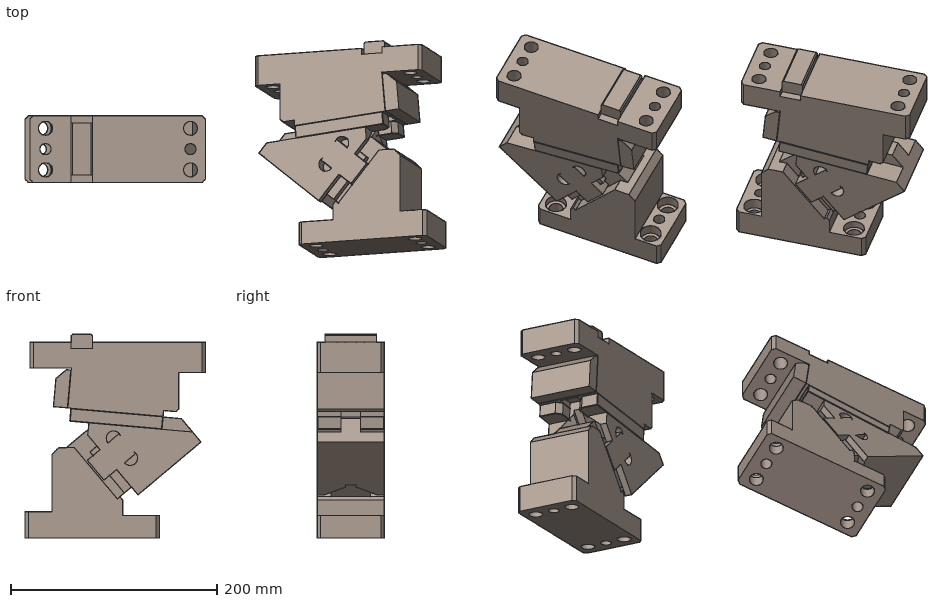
import cadquery as cq
import math

WIDTH = 65.0
CORNER_CHAMFER = 3.4
SCREW_RADIUS = 6.7
DOWEL_RADIUS = 5.3
SCREW_Y = 20.1
REACH = 197.5

BASE_LENGTH = 130.5
LEFT_FOOT_HEIGHT = 25.7
RIGHT_FOOT_HEIGHT = 22.0
COLUMN_LEFT = 26.0
COLUMN_RIGHT = 94.8
BASE_TOP = 87.7
COLUMN_CHAMFER = 6.7
BASE_LEFT_HOLE_X = 15.2
BASE_RIGHT_HOLE_X = 116.0
COUNTERBORE_RADIUS = 10.0
COUNTERBORE_FLOOR = 14.6

SLOPE_ANGLE = 50
SLOPE_TOP_X = 47.8
LIP_HEIGHT = 3.4

RAIL_START = -5.0
RAIL_END = 65.0
STEM_HALF = 19.0
STEM_ROOT = -9.9
HEAD_START = 13.0
HEAD_HALF = 25.7
HEAD_BOTTOM = 8.9
RAIL_SHOULDER = 17.8
ROOF_ANGLE = 30
RIDGE_HALF = 5.0
ROOF_TOP = RAIL_SHOULDER + (HEAD_HALF - RIDGE_HALF) * math.tan(math.radians(ROOF_ANGLE))
LEAD_IN_P = 19.2
LEAD_IN_ANGLE = 18

SLIDER_END = 74.9
SLIDER_BACK = 97.5
RELIEF_TOP = 32.8
LEG_START = 17.5
LEG_END = 42.7
LEG_BOTTOM = 1.8
LEG_TOP = 41.7
POCKET_P = 35.0
POCKET_RADIUS = 7.1

TILT = 5
JOINT_X = 41.7
JOINT_Z = 126.0
SLIDER_LEFT = 21.3
TONGUE_HALF = 9.5
TONGUE_LOW = -0.5
KEYWAY_TOP = 5.5

HOLDER_LEFT = 4.7
HOLDER_RIGHT = 175.0
HOLDER_TOP = 189.8
LEFT_WING_BOTTOM = 164.7
RIGHT_WING_BOTTOM = 160.4
HOLDER_BODY_RIGHT = 149.1
BODY_CHAMFER = 2.8
HOLDER_LEFT_HOLE_X = 20.0
HOLDER_RIGHT_HOLE_X = 160.4
PAD_START = 2.8
PAD_END = 92.6
PAD_DEPTH = 12.6
PAD_LEAD_IN = 5.3
EDGE_BREAK = 0.5
STOP_THICKNESS = 14.2
STOP_HEIGHT = 37.0
STOP_CHAMFER = 9.5
KEY_LEFT = 44.8
KEY_RIGHT = 65.5
KEY_BOTTOM = 183.9
KEY_TOP = 197.5
KEY_HALF = 25.0
KEY_CHAMFER = 1.4


def incline(angle, x, z):
    """Plane in XZ whose first axis descends to the right at the given angle."""
    a = math.radians(angle)
    return cq.Plane(origin=(x, 0, z), xDir=(math.cos(a), 0, -math.sin(a)), normal=(0, -1, 0))


FRONT = incline(0, 0, 0)
SLOPE = incline(SLOPE_ANGLE, SLOPE_TOP_X, BASE_TOP)
JOINT = incline(TILT, JOINT_X, JOINT_Z)


def prism(plane, points):
    """Outline in an XZ plane, extruded to the full width."""
    return cq.Workplane(plane).polyline(points).close().extrude(WIDTH / 2, both=True)


def slab(plane, left, right, bottom, top, y_min=-WIDTH / 2, y_max=WIDTH / 2):
    """Rectangular block in the axes of an XZ plane, between two Y positions."""
    outline = [(left, bottom), (right, bottom), (right, top), (left, top)]
    start = cq.Workplane(plane).workplane(offset=-y_max)
    return start.polyline(outline).close().extrude(y_max - y_min)


def mirrored_pair(body):
    """A body and its mirror image across y = 0."""
    return body.union(body.mirror("XZ"))


def slope_section(half_section, start, end):
    """Half section in (y, p), mirrored across y = 0 and swept along the slope."""
    other_half = [(-y, p) for y, p in reversed(half_section)]
    origin = SLOPE.toWorldCoords((start, 0, 0))
    plane = cq.Plane(origin=origin, xDir=(0, 1, 0), normal=SLOPE.xDir)
    return cq.Workplane(plane).polyline(half_section + other_half).close().extrude(end - start)


def upright_holes(x, y_positions, radius, bottom, top):
    """Vertical holes at one X position."""
    start = cq.Workplane("XY").workplane(offset=bottom)
    return start.pushPoints([(x, y) for y in y_positions]).circle(radius).extrude(top - bottom)


def mounting_holes(x, bottom, top):
    """Two screw holes and the dowel hole between them."""
    screws = upright_holes(x, (-SCREW_Y, SCREW_Y), SCREW_RADIUS, bottom, top)
    return screws.union(upright_holes(x, (0,), DOWEL_RADIUS, bottom, top))


def make_rail():
    """T-shaped guide rail with a roof-shaped top; the T head is shorter than the stem."""
    stem_shoulder = RAIL_SHOULDER + (HEAD_HALF - STEM_HALF) * math.tan(math.radians(ROOF_ANGLE))
    stem = slope_section(
        [(STEM_HALF, STEM_ROOT), (STEM_HALF, stem_shoulder), (RIDGE_HALF, ROOF_TOP)],
        RAIL_START,
        RAIL_END,
    )
    head = slope_section(
        [(HEAD_HALF, HEAD_BOTTOM), (HEAD_HALF, RAIL_SHOULDER), (RIDGE_HALF, ROOF_TOP)],
        HEAD_START,
        RAIL_END,
    )
    bevel_start = SLOPE.toWorldCoords((RAIL_START, LEAD_IN_P, 0))
    bevel_plane = incline(-LEAD_IN_ANGLE, bevel_start.x, bevel_start.z)
    lead_in = slab(bevel_plane, -REACH, REACH, 0, REACH)
    lead_in = lead_in.intersect(slab(SLOPE, -REACH, HEAD_START, 0, REACH))
    return stem.cut(lead_in).union(head)


def make_base():
    rail_foot = SLOPE.toWorldCoords((RAIL_END, 0, 0))
    lip_top = SLOPE.toWorldCoords((RAIL_END, LIP_HEIGHT, 0))
    lip_end_z = lip_top.z - (COLUMN_RIGHT - lip_top.x) * math.tan(math.radians(SLOPE_ANGLE))
    body = prism(
        FRONT,
        [
            (0, 0),
            (BASE_LENGTH, 0),
            (BASE_LENGTH, RIGHT_FOOT_HEIGHT),
            (COLUMN_RIGHT, RIGHT_FOOT_HEIGHT),
            (COLUMN_RIGHT, lip_end_z),
            (lip_top.x, lip_top.z),
            (rail_foot.x, rail_foot.z),
            (SLOPE_TOP_X, BASE_TOP),
            (COLUMN_LEFT + COLUMN_CHAMFER, BASE_TOP),
            (COLUMN_LEFT, BASE_TOP - COLUMN_CHAMFER),
            (COLUMN_LEFT, LEFT_FOOT_HEIGHT),
            (0, LEFT_FOOT_HEIGHT),
        ],
    )
    body = body.edges("|Z and (<X or >X)").chamfer(CORNER_CHAMFER)
    body = body.union(make_rail())
    for x, foot_top in ((BASE_LEFT_HOLE_X, LEFT_FOOT_HEIGHT), (BASE_RIGHT_HOLE_X, RIGHT_FOOT_HEIGHT)):
        body = body.cut(mounting_holes(x, 0, foot_top))
        counterbores = upright_holes(
            x, (-SCREW_Y, SCREW_Y), COUNTERBORE_RADIUS, COUNTERBORE_FLOOR, foot_top
        )
        body = body.cut(counterbores)
    return body


def make_tongue():
    """Central tongue: raised inside the holder's keyway, lower beyond it."""
    low = slab(JOINT, SLIDER_LEFT, REACH, -REACH, TONGUE_LOW, -TONGUE_HALF, TONGUE_HALF)
    raised = slab(JOINT, SLIDER_LEFT, PAD_END, -REACH, KEYWAY_TOP, -TONGUE_HALF, TONGUE_HALF)
    return low.union(raised)


def make_leg():
    """Side leg whose inward hook grips the rail head from below."""
    leg = slab(SLOPE, LEG_START, LEG_END, LEG_BOTTOM, RAIL_SHOULDER, STEM_HALF, WIDTH / 2)
    return leg.cut(slab(SLOPE, LEG_START, LEG_END, HEAD_BOTTOM, RAIL_SHOULDER, 0, HEAD_HALF))


def make_pockets():
    """Round pockets in one side, half filled by the root of the leg between them."""
    cylinders = (
        cq.Workplane(SLOPE)
        .workplane(offset=STEM_HALF)
        .pushPoints([(LEG_START, POCKET_P), (LEG_END, POCKET_P)])
        .circle(POCKET_RADIUS)
        .extrude(WIDTH / 2 - STEM_HALF)
    )
    return cylinders.cut(slab(SLOPE, LEG_START, LEG_END, 0, LEG_TOP))


def make_slider():
    stock = slab(SLOPE, -REACH, SLIDER_END, RAIL_SHOULDER, SLIDER_BACK)
    shoulders = slab(JOINT, SLIDER_LEFT, REACH, -REACH, -PAD_DEPTH)
    body = stock.intersect(shoulders.union(make_tongue()))
    roof_groove = slope_section(
        [(HEAD_HALF, RAIL_SHOULDER), (RIDGE_HALF, ROOF_TOP), (RIDGE_HALF, RELIEF_TOP)], -REACH, REACH
    )
    body = body.cut(roof_groove).union(mirrored_pair(make_leg()))
    return body.cut(mirrored_pair(make_pockets()))


def make_pad():
    """Wear pad on one side of the keyway, resting on a slider shoulder."""
    bottom = JOINT.toWorldCoords((0, -PAD_DEPTH, 0))
    pad = (
        cq.Workplane(cq.Plane(origin=bottom, xDir=JOINT.xDir, normal=JOINT.yDir))
        .polyline(
            [
                (PAD_START, -TONGUE_HALF - PAD_LEAD_IN),
                (PAD_START + PAD_LEAD_IN, -TONGUE_HALF),
                (PAD_END, -TONGUE_HALF),
                (PAD_END, -WIDTH / 2),
                (PAD_START, -WIDTH / 2),
            ]
        )
        .close()
        .extrude(PAD_DEPTH)
    )
    return pad.faces("<Y or <Z or >Z").edges().chamfer(EDGE_BREAK)


def make_stop_plate():
    plate = prism(
        JOINT,
        [
            (0, 0),
            (0, STOP_HEIGHT),
            (STOP_CHAMFER - STOP_THICKNESS, STOP_HEIGHT),
            (-STOP_THICKNESS, STOP_HEIGHT - STOP_CHAMFER),
            (-STOP_THICKNESS, 0),
        ],
    )
    return plate.faces(">X").edges().chamfer(EDGE_BREAK)


def make_key():
    key = slab(FRONT, KEY_LEFT, KEY_RIGHT, KEY_BOTTOM, KEY_TOP, -KEY_HALF, KEY_HALF)
    return key.faces(">Z").edges("|Y").chamfer(KEY_CHAMFER)


def make_holder():
    slope = math.tan(math.radians(TILT))
    step_low = JOINT.toWorldCoords((PAD_END, 0, 0))
    step_high = JOINT.toWorldCoords((PAD_END, KEYWAY_TOP, 0))
    chamfer_x = HOLDER_BODY_RIGHT - BODY_CHAMFER
    chamfer_z = step_high.z - (chamfer_x - step_high.x) * slope
    body_left_x = JOINT_X + (LEFT_WING_BOTTOM - JOINT_Z) * slope
    body = prism(
        FRONT,
        [
            (HOLDER_LEFT, HOLDER_TOP),
            (HOLDER_LEFT, LEFT_WING_BOTTOM),
            (body_left_x, LEFT_WING_BOTTOM),
            (JOINT_X, JOINT_Z),
            (step_low.x, step_low.z),
            (step_high.x, step_high.z),
            (chamfer_x, chamfer_z),
            (HOLDER_BODY_RIGHT, chamfer_z + BODY_CHAMFER),
            (HOLDER_BODY_RIGHT, RIGHT_WING_BOTTOM),
            (HOLDER_RIGHT, RIGHT_WING_BOTTOM),
            (HOLDER_RIGHT, HOLDER_TOP),
        ],
    )
    body = body.edges("|Z and (<X or >X)").chamfer(CORNER_CHAMFER)
    body = body.cut(slab(JOINT, PAD_START, PAD_END, 0, KEYWAY_TOP, -TONGUE_HALF, TONGUE_HALF))
    body = body.cut(slab(FRONT, KEY_LEFT, KEY_RIGHT, KEY_BOTTOM, HOLDER_TOP))
    body = body.union(make_key()).union(make_stop_plate()).union(mirrored_pair(make_pad()))
    body = body.cut(mounting_holes(HOLDER_LEFT_HOLE_X, LEFT_WING_BOTTOM, HOLDER_TOP))
    return body.cut(mounting_holes(HOLDER_RIGHT_HOLE_X, RIGHT_WING_BOTTOM, HOLDER_TOP))


base = make_base()
slider = make_slider()
holder = make_holder()

result = cq.Compound.makeCompound([part.solids().val() for part in (base, slider, holder)])